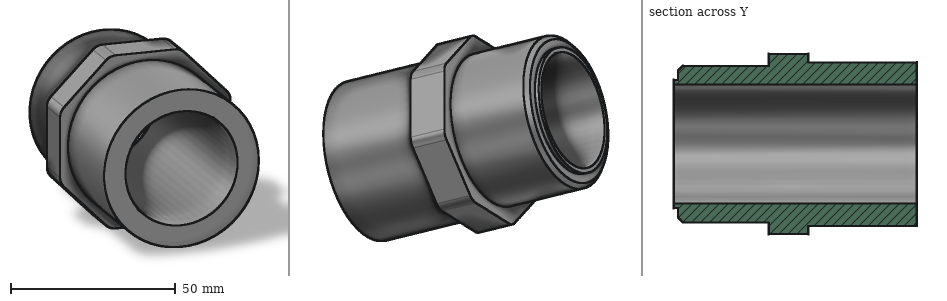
import cadquery as cq

total_length = 74.0
lip_length = 1.3
collar_start = 28.9
collar_width = 12.05

bore_diameter = 36.2
lip_diameter = 39.2
spigot_diameter = 47.8
socket_diameter = 49.95
collar_across_flats = 55.0

spigot_chamfer = 1.5
collar_corner_radius = 4.4

collar_end = collar_start + collar_width


def cylinder_along_x(diameter, start, end):
    """Solid cylinder on the X axis between two axial positions."""
    return cq.Workplane("YZ", origin=(start, 0, 0)).circle(diameter / 2).extrude(end - start)


def octagonal_collar():
    """Octagonal wrench collar with flats facing Y and Z and rounded corners."""
    square_bar = cq.Workplane("YZ", origin=(collar_start, 0, 0))
    square_bar = square_bar.rect(collar_across_flats, collar_across_flats).extrude(collar_width)
    diagonal_bar = square_bar.rotate((0, 0, 0), (1, 0, 0), 45)
    octagon = square_bar.intersect(diagonal_bar)
    return octagon.edges("|X").fillet(collar_corner_radius)


lip = cylinder_along_x(lip_diameter, 0, collar_start)
spigot = cylinder_along_x(spigot_diameter, lip_length, collar_start)
spigot = spigot.faces("<X").chamfer(spigot_chamfer)
socket_body = cylinder_along_x(socket_diameter, collar_end, total_length)

bore = cylinder_along_x(bore_diameter, 0, total_length)

fitting = lip.union(spigot).union(octagonal_collar()).union(socket_body).cut(bore)

result = fitting.translate((-total_length / 2, 0, 0))